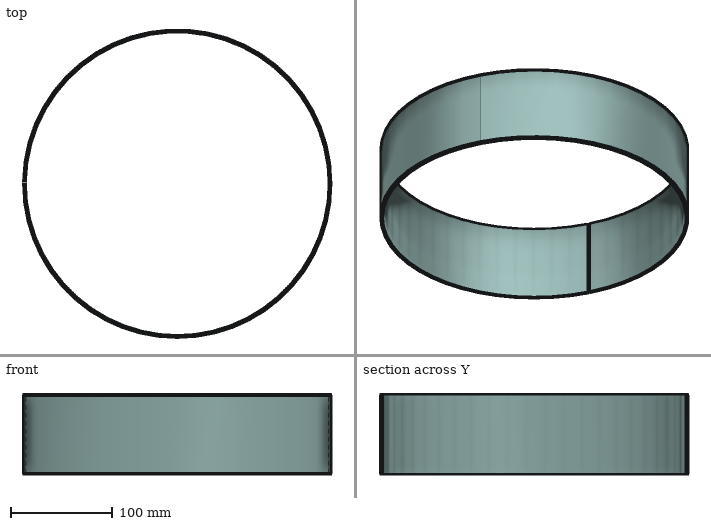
import cadquery as cq

outer_diameter = 305.0
height = 80.0
wall = 2.6
outer_chamfer_height = 1.8
outer_chamfer_depth = 0.5
inner_chamfer = 0.5
slit_width = 2.6

outer_radius = outer_diameter / 2
inner_radius = outer_radius - wall

rim_outer_radius = outer_radius - outer_chamfer_depth
rim_inner_radius = inner_radius + inner_chamfer
wall_section = [
    (rim_inner_radius, 0),
    (rim_outer_radius, 0),
    (outer_radius, outer_chamfer_height),
    (outer_radius, height - outer_chamfer_height),
    (rim_outer_radius, height),
    (rim_inner_radius, height),
    (inner_radius, height - inner_chamfer),
    (inner_radius, inner_chamfer),
]
ring = cq.Workplane("XZ").polyline(wall_section).close().revolve(360, (0, 0), (0, 1))

slit = cq.Workplane("XY").box(2 * wall, slit_width, height, centered=(True, False, False))
slit = slit.translate((-outer_radius + wall / 2, 0, 0))

result = ring.cut(slit)